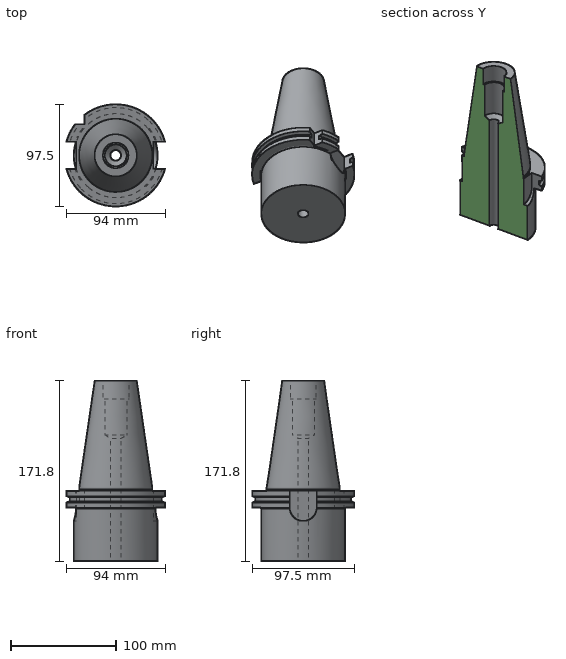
import cadquery as cq
import math

total_height = 171.8
gauge_z = 69.9
collar_bottom_z = 68.4
flange_top_z = 66.8
flange_height = 16.0
flange_bottom_z = flange_top_z - flange_height

body_diameter = 80.0
flange_fillet = 1.0
flange_diameter = 97.5
gauge_diameter = 69.9
relief_diameter = 69.7
taper_ratio = 7 / 24

groove_floor_diameter = 91.5
groove_floor_width = 3.6
groove_opening_width = 6.4
groove_center_drop = 8.0
groove_center_z = flange_top_z - groove_center_drop

slot_width = 25.8
slot_depth = 28.7
left_slot_floor = 37.6
right_slot_floor = 35.5

notch_x = -29.9
notch_y = 29.7

entry_bore_diameter = 24.4
entry_bore_depth = 17.2
threaded_bore_diameter = 20.8
threaded_bore_depth = 51.5
through_hole_diameter = 10.0
cone_bottom_angle = 118.0


def revolve_profile(points):
    """Revolve a closed (radius, height) outline around Z."""
    return cq.Workplane("XZ").polyline(points).close().revolve(360, (0, 0), (0, 1))


def make_holder():
    """Cylindrical body, grooved flange and steep taper."""
    body_r = body_diameter / 2
    flange_r = flange_diameter / 2
    floor_r = groove_floor_diameter / 2
    gauge_r = gauge_diameter / 2
    relief_r = relief_diameter / 2
    taper_top_r = gauge_r - taper_ratio * (total_height - gauge_z) / 2
    holder = revolve_profile([
        (0, 0),
        (body_r, 0),
        (body_r, flange_bottom_z),
        (flange_r, flange_bottom_z),
        (flange_r, groove_center_z - groove_opening_width / 2),
        (floor_r, groove_center_z - groove_floor_width / 2),
        (floor_r, groove_center_z + groove_floor_width / 2),
        (flange_r, groove_center_z + groove_opening_width / 2),
        (flange_r, flange_top_z),
        (relief_r, flange_top_z),
        (relief_r, collar_bottom_z),
        (gauge_r, collar_bottom_z),
        (gauge_r, gauge_z),
        (taper_top_r, total_height),
        (0, total_height),
    ])
    underside = holder.faces(cq.NearestToPointSelector((0, 0, flange_bottom_z)))
    return underside.edges(cq.selectors.RadiusNthSelector(0)).fillet(flange_fillet)


def make_bore():
    """Stepped bore from the top: entry, threaded length, cone and through hole."""
    entry_r = entry_bore_diameter / 2
    thread_r = threaded_bore_diameter / 2
    hole_r = through_hole_diameter / 2
    entry_z = total_height - entry_bore_depth
    thread_z = total_height - threaded_bore_depth
    cone_height = (thread_r - hole_r) / math.tan(math.radians(cone_bottom_angle / 2))
    return revolve_profile([
        (0, 0),
        (hole_r, 0),
        (hole_r, thread_z - cone_height),
        (thread_r, thread_z),
        (thread_r, entry_z),
        (entry_r, entry_z),
        (entry_r, total_height),
        (0, total_height),
    ])


def make_slot(side, floor_distance):
    """Round-ended drive slot open at the top and outside; side is -1 or +1 along X."""
    radius = slot_width / 2
    arc_z = flange_top_z - slot_depth + radius
    return (
        cq.Workplane("YZ", origin=(side * floor_distance, 0, 0))
        .moveTo(-radius, flange_top_z)
        .lineTo(-radius, arc_z)
        .threePointArc((0, arc_z - radius), (radius, arc_z))
        .lineTo(radius, flange_top_z)
        .close()
        .extrude(side * flange_diameter / 2)
    )


def make_notch():
    """Corner cut through the full height of the flange at -X, +Y."""
    size = flange_diameter / 2
    return (
        cq.Workplane("XY")
        .box(size, size, flange_height, centered=False)
        .translate((notch_x - size, notch_y, flange_bottom_z))
    )


result = (
    make_holder()
    .cut(make_bore())
    .cut(make_slot(-1, left_slot_floor))
    .cut(make_slot(1, right_slot_floor))
    .cut(make_notch())
)